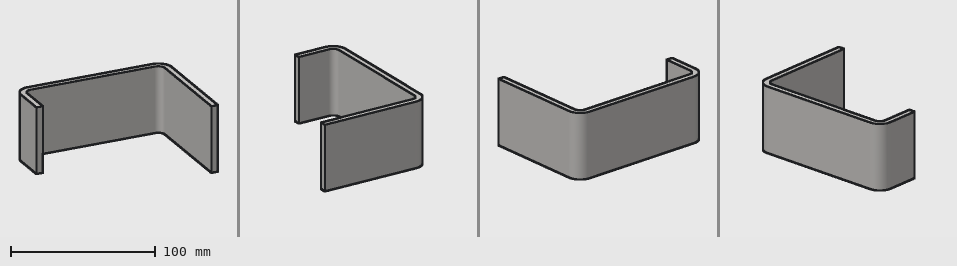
import cadquery as cq

web_length = 115.0
long_flange = 85.0
short_flange = 35.0
height = 50.0

outer_radius = 10.0
thickness = outer_radius / 2
inner_radius = outer_radius - thickness


def block(length_x, length_y):
    """Full-height block with one corner at the origin."""
    return cq.Workplane("XY").box(length_x, length_y, height, centered=False)


def rounded_block(length_x, length_y, radius):
    """Full-height block with both upright edges on its -X side rounded."""
    return block(length_x, length_y).edges("|Z and <X").fillet(radius)


outer = rounded_block(long_flange, web_length, outer_radius)
inner = rounded_block(long_flange, web_length - 2 * thickness, inner_radius)
channel = outer.cut(inner.translate((thickness, thickness, 0)))

flange_trim = block(long_flange - short_flange, thickness).translate((short_flange, 0, 0))
result = channel.cut(flange_trim)